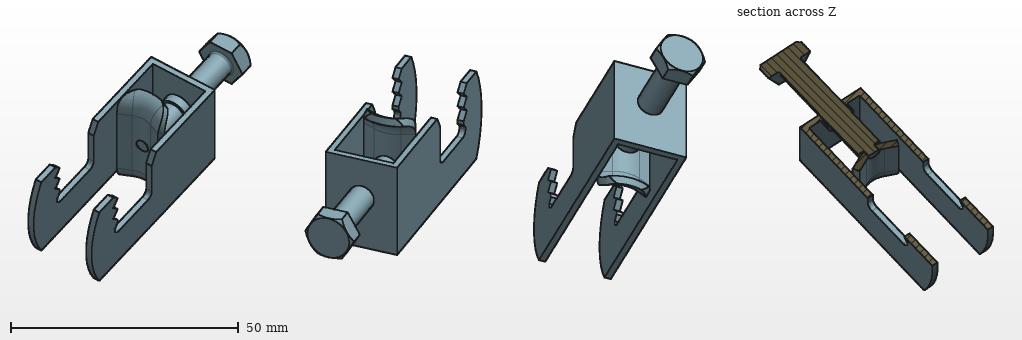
import cadquery as cq
import math


BRACKET_WIDTH = 17.0
BRACKET_LENGTH = 47.05
BRACKET_TOP = 9.75
BRACKET_BOTTOM = -12.7
SHEET = 1.5
HOOK_ARC_RISE = 2.95
SLOT_NEAR_Y = -24.1
SLOT_FAR_Y = -38.1
SLOT_FLOOR_Z = -3.1
SLOT_RADIUS = 1.45
LEAD_IN_LENGTH = 1.7
LEAD_IN_HEIGHT = 3.0
TOOTH_TIP_Y = -37.05
TOOTH_DEPTH = 1.7
TOOTH_HALF_PITCH = 1.75
TOOTH_COUNT = 3
LAST_TOOTH_FLAT = 1.0
BOSS_DIAMETER = 7.2
BOSS_END_Y = -3.8

HEAD_HEIGHT = 4.0
HEAD_ACROSS_FLATS = 10.1
HEAD_FACE_DIAMETER = 9.95
HEAD_CHAMFER_HEIGHT = 0.8
BOLT_TOTAL_LENGTH = 65.45
SHANK_DIAMETER = 6.0
HEAD_FILLET = 0.4
PIN_DIAMETER = 3.1

SADDLE_THICKNESS = 1.75
SADDLE_FRONT_Y = -15.45
CABLE_RADIUS = 5.8
FLANK_ANGLE = 25.0
FLANK_LENGTH = 3.35
STRAIGHT_HALF_HEIGHT = 8.95
FLARE_RADIUS = 5.35
FLARE_ANGLE = 70.0
SADDLE_CORNER_RADIUS = 5.25
CORNER_TILT = 50.0

HEAD_TOP_Y = BOLT_TOTAL_LENGTH - BRACKET_LENGTH
HEAD_UNDERSIDE_Y = HEAD_TOP_Y - HEAD_HEIGHT
SADDLE_BACK_Y = SADDLE_FRONT_Y + SADDLE_THICKNESS
CABLE_AXIS_Y = SADDLE_FRONT_Y - CABLE_RADIUS


def rod(diameter, start_y, end_y):
    """Cylinder on the bolt axis, running from start_y towards -Y to end_y."""
    return cq.Workplane("XZ", origin=(0, start_y, 0)).circle(diameter / 2).extrude(start_y - end_y)


def side_wall_outline():
    """Closed outline of a side wall in the YZ plane."""
    hook_corner_y = -BRACKET_LENGTH + HOOK_ARC_RISE
    middle_z = (BRACKET_TOP + BRACKET_BOTTOM) / 2
    diagonal = SLOT_RADIUS * math.sqrt(0.5)
    near_center_y = SLOT_NEAR_Y - SLOT_RADIUS
    far_center_y = SLOT_FAR_Y + SLOT_RADIUS
    center_z = SLOT_FLOOR_Z + SLOT_RADIUS

    outline = (
        cq.Workplane("YZ")
        .moveTo(0, BRACKET_BOTTOM)
        .lineTo(0, BRACKET_TOP)
        .lineTo(SLOT_NEAR_Y + LEAD_IN_LENGTH, BRACKET_TOP)
        .lineTo(SLOT_NEAR_Y, BRACKET_TOP - LEAD_IN_HEIGHT)
        .lineTo(SLOT_NEAR_Y, center_z)
        .threePointArc((near_center_y + diagonal, center_z - diagonal), (near_center_y, SLOT_FLOOR_Z))
        .lineTo(far_center_y, SLOT_FLOOR_Z)
        .threePointArc((far_center_y - diagonal, center_z - diagonal), (SLOT_FAR_Y, center_z))
    )

    lowest_tip_z = BRACKET_TOP - (2 * TOOTH_COUNT - 1) * TOOTH_HALF_PITCH
    blunt_z = lowest_tip_z - LAST_TOOTH_FLAT
    slope = TOOTH_HALF_PITCH / TOOTH_DEPTH
    outline = outline.lineTo(SLOT_FAR_Y, blunt_z - (TOOTH_TIP_Y - SLOT_FAR_Y) * slope)
    outline = outline.lineTo(TOOTH_TIP_Y, blunt_z)
    for index in range(TOOTH_COUNT):
        tip_z = lowest_tip_z + 2 * index * TOOTH_HALF_PITCH
        outline = outline.lineTo(TOOTH_TIP_Y, tip_z)
        outline = outline.lineTo(TOOTH_TIP_Y - TOOTH_DEPTH, tip_z + TOOTH_HALF_PITCH)

    return (
        outline.lineTo(hook_corner_y, BRACKET_TOP)
        .threePointArc((-BRACKET_LENGTH, middle_z), (hook_corner_y, BRACKET_BOTTOM))
        .close()
    )


def make_bracket():
    """Side walls and back wall in one sheet, with a boss around the bolt hole."""
    block = side_wall_outline().extrude(BRACKET_WIDTH / 2, both=True)
    inside = (
        cq.Workplane("XY", origin=(0, -SHEET - BRACKET_LENGTH / 2, BRACKET_BOTTOM))
        .rect(BRACKET_WIDTH - 2 * SHEET, BRACKET_LENGTH)
        .extrude(BRACKET_TOP - BRACKET_BOTTOM)
    )
    boss = rod(BOSS_DIAMETER, -SHEET, BOSS_END_Y)
    hole = rod(SHANK_DIAMETER, 0, BOSS_END_Y)
    return block.cut(inside).union(boss).cut(hole)


def make_head():
    """Hexagon with two corners on the X axis and a conical chamfer on its outer face."""
    corner_diameter = HEAD_ACROSS_FLATS / math.cos(math.radians(30))
    hexagon = (
        cq.Workplane("XZ", origin=(0, HEAD_TOP_Y, 0))
        .polygon(6, corner_diameter)
        .extrude(HEAD_HEIGHT)
    )
    chamfered_envelope = (
        cq.Workplane("XY")
        .moveTo(0, HEAD_UNDERSIDE_Y)
        .lineTo(corner_diameter / 2, HEAD_UNDERSIDE_Y)
        .lineTo(corner_diameter / 2, HEAD_TOP_Y - HEAD_CHAMFER_HEIGHT)
        .lineTo(HEAD_FACE_DIAMETER / 2, HEAD_TOP_Y)
        .lineTo(0, HEAD_TOP_Y)
        .close()
        .revolve(360, (0, 0), (0, 1))
    )
    return hexagon.intersect(chamfered_envelope)


def make_shank():
    """Shank with a fillet against the head, ending on the back of the saddle."""
    radius = SHANK_DIAMETER / 2
    fillet_diagonal = HEAD_FILLET * (1 - math.sqrt(0.5))
    return (
        cq.Workplane("XY")
        .moveTo(0, HEAD_UNDERSIDE_Y)
        .lineTo(radius + HEAD_FILLET, HEAD_UNDERSIDE_Y)
        .threePointArc(
            (radius + fillet_diagonal, HEAD_UNDERSIDE_Y - fillet_diagonal),
            (radius, HEAD_UNDERSIDE_Y - HEAD_FILLET),
        )
        .lineTo(radius, SADDLE_BACK_Y)
        .lineTo(0, SADDLE_BACK_Y)
        .close()
        .revolve(360, (0, 0), (0, 1))
    )


def make_bolt():
    """Head, shank and the pin that carries the saddle."""
    pin = rod(PIN_DIAMETER, SADDLE_BACK_Y, SADDLE_FRONT_Y)
    return make_head().union(make_shank()).union(pin)


def saddle_section():
    """Flared plate section on the radial plane at the +X edge of the curved middle.

    Local x is the distance from the cable axis and local y is height.
    """
    angle = math.radians(FLANK_ANGLE)
    plane = cq.Plane(
        origin=(0, CABLE_AXIS_Y, 0),
        xDir=(math.sin(angle), math.cos(angle), 0),
        normal=(math.cos(angle), -math.sin(angle), 0),
    )
    flare_center = CABLE_RADIUS + FLARE_RADIUS

    def flare_point(radius, degrees, end):
        turn = math.radians(degrees)
        height = STRAIGHT_HALF_HEIGHT + radius * math.sin(turn)
        return (flare_center - radius * math.cos(turn), end * height)

    front = FLARE_RADIUS
    back = FLARE_RADIUS - SADDLE_THICKNESS
    half_turn = FLARE_ANGLE / 2
    return (
        cq.Workplane(plane)
        .moveTo(*flare_point(front, 0, -1))
        .lineTo(*flare_point(front, 0, 1))
        .threePointArc(flare_point(front, half_turn, 1), flare_point(front, FLARE_ANGLE, 1))
        .lineTo(*flare_point(back, FLARE_ANGLE, 1))
        .threePointArc(flare_point(back, half_turn, 1), flare_point(back, 0, 1))
        .lineTo(*flare_point(back, 0, -1))
        .threePointArc(flare_point(back, half_turn, -1), flare_point(back, FLARE_ANGLE, -1))
        .lineTo(*flare_point(front, FLARE_ANGLE, -1))
        .threePointArc(flare_point(front, half_turn, -1), flare_point(front, 0, -1))
        .close()
    )


def rounded_end_block():
    """Block that trims the upper end of the +X half of the saddle to a rounded corner.

    It is extruded square to the flared flank. Local x runs along the flank and local y up
    the flare, both from the flare tip at the inner end of the flank.
    """
    angle = math.radians(FLANK_ANGLE)
    tilt = math.radians(CORNER_TILT)
    turn = math.radians(FLARE_ANGLE)
    flare_depth = FLARE_RADIUS * (1 - math.cos(turn))
    tip_radius = CABLE_RADIUS + flare_depth
    plane = cq.Plane(
        origin=(
            tip_radius * math.sin(angle),
            CABLE_AXIS_Y + tip_radius * math.cos(angle),
            STRAIGHT_HALF_HEIGHT + FLARE_RADIUS * math.sin(turn),
        ),
        xDir=(math.cos(angle), -math.sin(angle), 0),
        normal=(-math.cos(tilt) * math.sin(angle), -math.cos(tilt) * math.cos(angle), math.sin(tilt)),
    )
    reach = 4 * STRAIGHT_HALF_HEIGHT
    corner = SADDLE_CORNER_RADIUS
    diagonal = corner * math.sqrt(0.5)
    return (
        cq.Workplane(plane)
        .moveTo(-reach, 0)
        .lineTo(FLANK_LENGTH - corner, 0)
        .threePointArc(
            (FLANK_LENGTH - corner + diagonal, -corner + diagonal),
            (FLANK_LENGTH, -corner),
        )
        .lineTo(FLANK_LENGTH, -reach)
        .lineTo(-reach, -reach)
        .close()
        .extrude(reach, both=True)
    )


def make_saddle():
    """Curved middle with a straight flank on each side, rounded corners and the pin hole."""
    middle = saddle_section().revolve(FLANK_ANGLE, (0, 0), (0, 1))
    flank = saddle_section().extrude(FLANK_LENGTH)
    upper_trim = rounded_end_block()
    lower_trim = upper_trim.mirror("XY")
    half = middle.union(flank).intersect(upper_trim).intersect(lower_trim)
    hole = rod(PIN_DIAMETER, SADDLE_BACK_Y, CABLE_AXIS_Y)
    return half.union(half.mirror("YZ")).cut(hole)


bracket = make_bracket()
bolt = make_bolt()
saddle = make_saddle()
result = cq.Compound.makeCompound([bracket.val(), bolt.val(), saddle.val()])